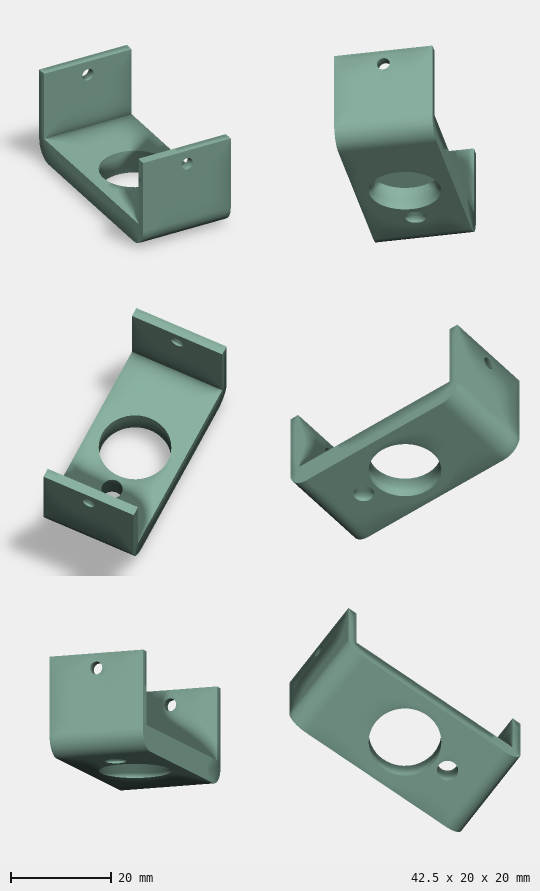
import cadquery as cq

length = 42.5
width = 20.0
height = 20.0

wall_thickness = 2.0
base_thickness = 5.0
corner_radius = 4.0

main_hole_diameter = 14.5
small_hole_diameter = 4.2
small_hole_offset = 10.5

wall_hole_diameter = 2.6
wall_hole_below_top = 3.0


def bracket_body():
    """U-shaped channel with rounded lower outer edges, standing on Z = 0."""
    block = cq.Workplane("XY").box(length, width, height, centered=(True, True, False))
    block = block.faces("<Z").edges("|Y").fillet(corner_radius)
    channel = (
        cq.Workplane("XY")
        .workplane(offset=base_thickness)
        .rect(length - 2 * wall_thickness, width)
        .extrude(height - base_thickness)
    )
    return block.cut(channel)


def base_hole(x, diameter):
    """Vertical cutter through the base on the bracket's long centerline."""
    return cq.Workplane("XY").center(x, 0).circle(diameter / 2).extrude(base_thickness)


def wall_holes():
    """Horizontal cutter through both walls."""
    return (
        cq.Workplane("YZ")
        .center(0, height - wall_hole_below_top)
        .circle(wall_hole_diameter / 2)
        .extrude(length / 2, both=True)
    )


result = (
    bracket_body()
    .cut(base_hole(0, main_hole_diameter))
    .cut(base_hole(small_hole_offset, small_hole_diameter))
    .cut(wall_holes())
)